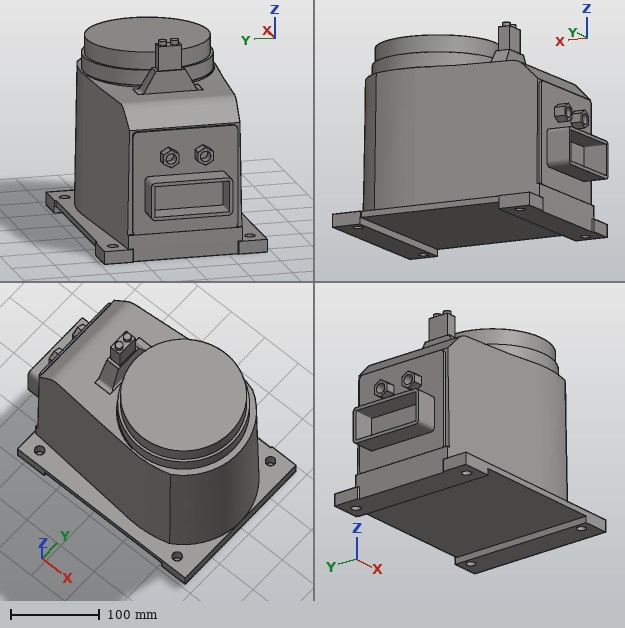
import cadquery as cq
import math


base_front = -165.0
base_back = 85.0
base_half_width = 95.0
base_height = 15.0
channel_front = -125.0
channel_back = 50.0
channel_height = 8.0
notch_depth = 2.0
front_notch_half_width = 61.0
notch_bevel = 1.0
bolt_hole_diameter = 11.5
bolt_hole_front = -145.0
bolt_hole_back = 60.0
bolt_hole_half_spacing = 80.0

draft_angle = 1.0
housing_front = base_front + notch_depth
housing_front_half_width = 66.6
housing_back_radius = base_back
shoulder_x = -11.7
shoulder_half_width = 79.55
back_arc_start_x = 43.0
housing_top = 178.1
roof_height = 176.2
roof_ramp_front = -61.3
roof_ramp_back = -12.0
front_bevel_angle = 45.0
front_bevel_bottom = 152.8
roof_edge_radius = 20.0

panel_face = -162.5
panel_thickness = 3.0
panel_back = panel_face + panel_thickness
panel_bottom = 30.3
panel_top = 151.0
panel_half_width = 61.0
panel_corner_radius = 5.0
recess_bottom = 31.0
connector_front = -190.8
connector_half_width = 47.5
connector_bottom = 54.4
connector_top = 98.3
connector_wall = 4.0
connector_outer_radius = 5.5
connector_inner_radius = 1.0
nut_sides = 6
nut_front = -175.4
nut_across_flats = 18.0
nut_bore_diameter = 12.0
nut_half_spacing = 20.0
nut_height = 120.7

collar_radius = 75.5
cover_radius = 74.3
cover_height = 195.7
lid_radius = 71.0
lid_height = 216.0

pad_front = -99.3
pad_back = -76.7
pad_half_width = 38.0
pad_thickness = 0.2
boot_foot_half_width = 31.6
boot_foot_back = -78.5
boot_top_half_width = 17.2
boot_top_back = -82.0
boot_top = 201.5
boot_side_fillet_radius = 3.4
boot_back_fillet_radius = 1.8
block_front = -97.3
block_back = -83.3
block_half_width = 13.4
block_top = 229.8
pin_diameter = 9.0
pin_x = -90.0
pin_half_spacing = 7.0
pin_top = 234.89


def box_between(x_range, y_range, z_range):
    """Box spanning the given (low, high) ranges."""
    spans = (x_range, y_range, z_range)
    sizes = [high - low for low, high in spans]
    corner = tuple(low for low, high in spans)
    return cq.Workplane("XY").box(*sizes, centered=False).translate(corner)


def disc_between(x, y, radius, bottom, top):
    """Upright cylinder centred at (x, y)."""
    return cq.Workplane("XY", origin=(x, y, bottom)).circle(radius).extrude(top - bottom)


def front_sketch(x, y, z):
    """Sketch plane facing the front; its local axes run along +Y and +Z."""
    return cq.Workplane("YZ", origin=(x, y, z))


def make_base():
    plate = box_between(
        (base_front, base_back), (-base_half_width, base_half_width), (0, base_height)
    )
    channel = box_between(
        (channel_front, channel_back), (-base_half_width, base_half_width), (0, channel_height)
    )
    side_notch = (
        cq.Workplane("XY")
        .moveTo(channel_front - notch_bevel, base_half_width)
        .lineTo(channel_front, base_half_width - notch_depth)
        .lineTo(channel_back - notch_bevel, base_half_width - notch_depth)
        .lineTo(channel_back - notch_bevel, base_half_width)
        .close()
        .extrude(base_height)
    )
    front_notch = (
        cq.Workplane("XY")
        .moveTo(base_front, -front_notch_half_width - notch_bevel)
        .lineTo(housing_front, -front_notch_half_width)
        .lineTo(housing_front, front_notch_half_width)
        .lineTo(base_front, front_notch_half_width + notch_bevel)
        .close()
        .extrude(base_height)
    )
    plate = plate.cut(channel).cut(side_notch).cut(front_notch)
    for x in (bolt_hole_front, bolt_hole_back):
        for y in (-bolt_hole_half_spacing, bolt_hole_half_spacing):
            plate = plate.cut(disc_between(x, y, bolt_hole_diameter / 2, 0, base_height))
    return plate


def make_drafted_body():
    """Tapered body: flat flanks that run tangentially into arcs, and a round back."""
    back_arc_start_y = math.sqrt(housing_back_radius**2 - back_arc_start_x**2)
    flank_angle = math.atan2(
        shoulder_half_width - housing_front_half_width, shoulder_x - housing_front
    )
    chord_x = back_arc_start_x - shoulder_x
    chord_y = back_arc_start_y - shoulder_half_width
    chord_angle = math.atan2(chord_y, chord_x)
    turn = flank_angle - chord_angle
    sagitta = math.hypot(chord_x, chord_y) / 2 * math.tan(turn / 2)
    shoulder_mid_x = (shoulder_x + back_arc_start_x) / 2 - sagitta * math.sin(chord_angle)
    shoulder_mid_y = (shoulder_half_width + back_arc_start_y) / 2 + sagitta * math.cos(chord_angle)
    return (
        cq.Workplane("XY", origin=(0, 0, base_height))
        .moveTo(housing_front, -housing_front_half_width)
        .lineTo(shoulder_x, -shoulder_half_width)
        .threePointArc((shoulder_mid_x, -shoulder_mid_y), (back_arc_start_x, -back_arc_start_y))
        .threePointArc((housing_back_radius, 0), (back_arc_start_x, back_arc_start_y))
        .threePointArc((shoulder_mid_x, shoulder_mid_y), (shoulder_x, shoulder_half_width))
        .lineTo(housing_front, housing_front_half_width)
        .close()
        .extrude(housing_top - base_height, taper=draft_angle)
    )


def make_side_profile():
    """Side outline of the housing: recessed front, bevelled edge and ramped roof."""
    bevel = math.radians(front_bevel_angle)
    bevel_end_x = panel_back + (roof_height - front_bevel_bottom) / math.tan(bevel)
    tangent_length = roof_edge_radius * math.tan(bevel / 2)
    arc_start = (
        bevel_end_x - tangent_length * math.cos(bevel),
        roof_height - tangent_length * math.sin(bevel),
    )
    arc_end = (bevel_end_x + tangent_length, roof_height)
    arc_middle = (
        arc_end[0] - roof_edge_radius * math.sin(bevel / 2),
        roof_height - roof_edge_radius * (1 - math.cos(bevel / 2)),
    )
    return (
        cq.Workplane("XZ", origin=(0, base_half_width, 0))
        .moveTo(base_front, base_height)
        .lineTo(base_front, recess_bottom)
        .lineTo(panel_back, recess_bottom)
        .lineTo(panel_back, front_bevel_bottom)
        .lineTo(*arc_start)
        .threePointArc(arc_middle, arc_end)
        .lineTo(roof_ramp_front, roof_height)
        .lineTo(roof_ramp_back, housing_top)
        .lineTo(base_back, housing_top)
        .lineTo(base_back, base_height)
        .close()
        .extrude(2 * base_half_width)
    )


def make_cover():
    collar = disc_between(0, 0, collar_radius, base_height, housing_top)
    cover = disc_between(0, 0, cover_radius, housing_top, cover_height)
    lid = disc_between(0, 0, lid_radius, cover_height, lid_height)
    return collar.union(cover).union(lid)


def make_panel():
    panel_height = panel_top - panel_bottom
    return (
        front_sketch(panel_face, 0, panel_bottom + panel_height / 2)
        .rect(2 * panel_half_width, panel_height)
        .extrude(panel_thickness)
        .edges("|X")
        .fillet(panel_corner_radius)
    )


def make_connector():
    """Rounded rectangular shroud, open at the front and closed by the panel."""
    height = connector_top - connector_bottom
    width = 2 * connector_half_width
    length = panel_face - connector_front
    plane = front_sketch(connector_front, 0, connector_bottom + height / 2)
    shroud = plane.rect(width, height).extrude(length)
    shroud = shroud.edges("|X").fillet(connector_outer_radius)
    opening = plane.rect(width - 2 * connector_wall, height - 2 * connector_wall).extrude(length)
    opening = opening.edges("|X").fillet(connector_inner_radius)
    return shroud.cut(opening)


def make_nut(y):
    """Bored hexagon with its corners pointing up and down."""
    across_corners = nut_across_flats / math.cos(math.pi / nut_sides)
    return (
        front_sketch(nut_front, y, nut_height)
        .transformed(rotate=(0, 0, 90))
        .polygon(nut_sides, across_corners)
        .circle(nut_bore_diameter / 2)
        .extrude(panel_face - nut_front)
    )


def make_boot_foot():
    """Tapered boot on its pad: a flared front outline crossed with a flared side outline."""
    pad_top = roof_height + pad_thickness
    front_outline = (
        front_sketch(pad_front, 0, 0)
        .moveTo(-pad_half_width, base_height)
        .lineTo(-pad_half_width, pad_top)
        .lineTo(-boot_foot_half_width, pad_top)
        .lineTo(-boot_top_half_width, boot_top)
        .lineTo(boot_top_half_width, boot_top)
        .lineTo(boot_foot_half_width, pad_top)
        .lineTo(pad_half_width, pad_top)
        .lineTo(pad_half_width, base_height)
        .close()
        .extrude(pad_back - pad_front)
    )
    for y in (-boot_foot_half_width, boot_foot_half_width):
        foot_edge = cq.selectors.NearestToPointSelector(((pad_front + pad_back) / 2, y, pad_top))
        front_outline = front_outline.edges(foot_edge).fillet(boot_side_fillet_radius)
    side_outline = (
        cq.Workplane("XZ", origin=(0, pad_half_width, 0))
        .moveTo(pad_front, base_height)
        .lineTo(pad_front, boot_top)
        .lineTo(boot_top_back, boot_top)
        .lineTo(boot_foot_back, pad_top)
        .lineTo(pad_back, pad_top)
        .lineTo(pad_back, base_height)
        .close()
        .extrude(2 * pad_half_width)
    )
    foot_edge = cq.selectors.NearestToPointSelector((boot_foot_back, 0, pad_top))
    side_outline = side_outline.edges(foot_edge).fillet(boot_back_fillet_radius)
    return front_outline.intersect(side_outline)


def make_cable_boot():
    block = box_between(
        (block_front, block_back), (-block_half_width, block_half_width), (boot_top, block_top)
    )
    assembly = make_boot_foot().union(block)
    for y in (-pin_half_spacing, pin_half_spacing):
        assembly = assembly.union(disc_between(pin_x, y, pin_diameter / 2, block_top, pin_top))
    return assembly


housing = make_drafted_body().intersect(make_side_profile())
result = make_base().union(housing).union(make_cover())
result = result.union(make_panel()).union(make_connector())
for nut_y in (-nut_half_spacing, nut_half_spacing):
    result = result.union(make_nut(nut_y))
result = result.union(make_cable_boot())